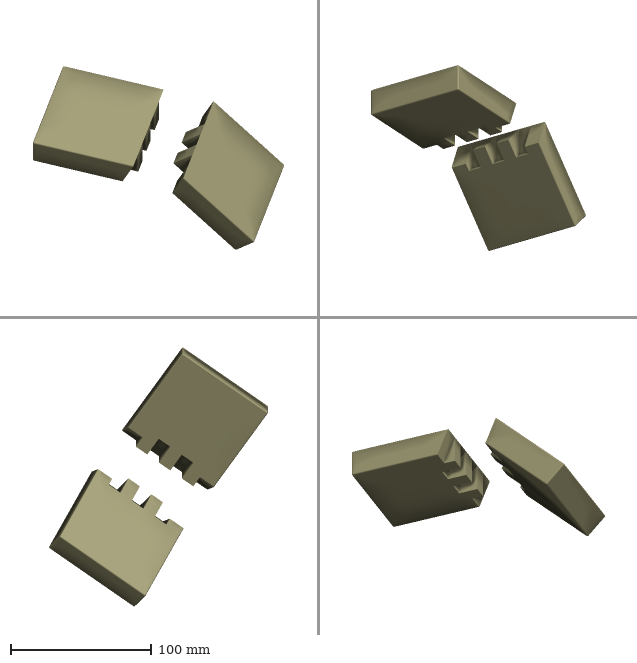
import cadquery as cq
import math

panel_size = 75.0
thickness = 20.0
edge_radius = 1.0
finger_width = 10.0
bend_angle = 45.0
overall_length = 165.0

bend = math.radians(bend_angle)
miter_setback = thickness * math.tan(bend / 2)
recess_depth = thickness * math.sin(bend)
recess_drop = thickness * math.cos(bend)

sloped_reach = (panel_size - edge_radius) * math.cos(bend) - edge_radius * math.sin(bend) + edge_radius
panel_gap = overall_length - panel_size - sloped_reach

level_finger_centers = [-2 * finger_width, 0, 2 * finger_width]
sloped_finger_centers = [-finger_width, finger_width]
joint_width = finger_width * (len(level_finger_centers) + len(sloped_finger_centers))
shoulder_width = (panel_size - joint_width) / 2
shoulder_center = (joint_width + shoulder_width) / 2


def rounded_slab():
    """Square slab with every edge rounded except those of the joint end."""
    slab = cq.Workplane("XY").box(panel_size, panel_size, thickness, centered=(False, True, False))
    slab = slab.translate((0, 0, -thickness))
    joint_face_edges = slab.faces("<X").edges().vals()
    outer_edges = [edge for edge in slab.edges().vals() if edge not in joint_face_edges]
    return slab.newObject(outer_edges).fillet(edge_radius)


def joint_cutter(profile, center_y, width):
    """Prism with the given XZ profile, centred on a place across the joint."""
    prism = cq.Workplane("XZ").polyline(profile).close().extrude(width / 2, both=True)
    return prism.translate((0, center_y, 0))


def jointed_panel(recess_centers):
    """Panel with mitered shoulders, square fingers and recesses for the mating fingers."""
    miter_profile = [(0, 0), (miter_setback, -thickness), (0, -thickness)]
    recess_profile = [
        (0, 0),
        (recess_depth, -recess_drop),
        (recess_depth, -thickness),
        (0, -thickness),
    ]
    panel = rounded_slab()
    for center_y in (-shoulder_center, shoulder_center):
        panel = panel.cut(joint_cutter(miter_profile, center_y, shoulder_width))
    for center_y in recess_centers:
        panel = panel.cut(joint_cutter(recess_profile, center_y, finger_width))
    return panel


level_panel = jointed_panel(sloped_finger_centers)
level_panel = level_panel.rotate((0, 0, 0), (0, 0, 1), 180)

sloped_panel = jointed_panel(level_finger_centers)
sloped_panel = sloped_panel.rotate((0, 0, 0), (0, 1, 0), bend_angle).translate((panel_gap, 0, 0))

result = cq.Compound.makeCompound([level_panel.val(), sloped_panel.val()])